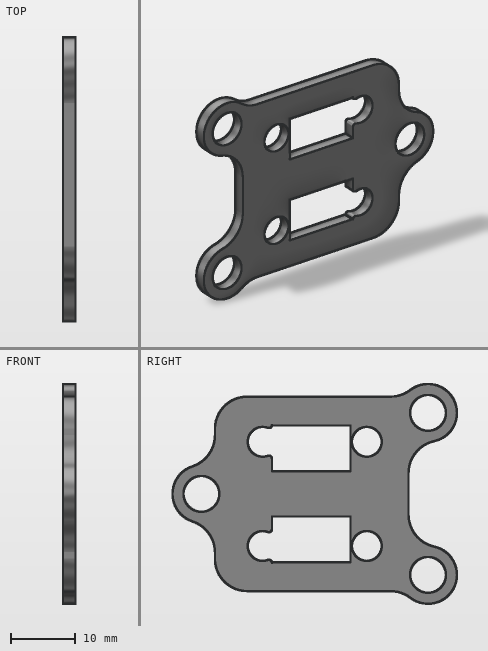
import cadquery as cq
import math

length = 44.0
height = 34.0
thickness = 2.0

body_front = -15.45
body_back = 14.5
body_height = 30.1
blend_radius = 5.0

lug_radius = 4.5
lug_hole_radius = 2.75
lug_y = length / 2 - lug_radius
lug_z = height / 2 - lug_radius
lug_centers = [(lug_y, lug_z), (lug_y, -lug_z), (-lug_y, 0)]

screw_radius = 2.3
screw_y = 8.05
screw_z = 8.05
window_front = -6.6
window_back = 5.5
window_inner_z = 3.5
window_height = 7.05
neck_radius = 0.5


def prism(y_min, y_max, z_min, z_max):
    """Block through the plate thickness, centred on X = 0."""
    return cq.Workplane("YZ").box(
        y_max - y_min, z_max - z_min, thickness
    ).translate((0, (y_min + y_max) / 2, (z_min + z_max) / 2))


def discs(centers, radius):
    """Round prisms through the plate thickness at (y, z) centres."""
    return (
        cq.Workplane("YZ", origin=(-thickness / 2, 0, 0))
        .pushPoints(centers)
        .circle(radius)
        .extrude(thickness)
    )


def lug_junctions():
    """The (y, z) corners where the lugs meet the straight body edges."""
    front_rise = math.sqrt(lug_radius**2 - (body_front + lug_y) ** 2)
    back_drop = math.sqrt(lug_radius**2 - (lug_y - body_back) ** 2)
    side_run = math.sqrt(lug_radius**2 - (body_height / 2 - lug_z) ** 2)
    upper = [
        (body_front, front_rise),
        (body_back, lug_z - back_drop),
        (lug_y - side_run, body_height / 2),
    ]
    return upper + [(y, -z) for y, z in upper]


def plate():
    """Body with three lugs blended into its edges."""
    body = prism(body_front, body_back, -body_height / 2, body_height / 2)
    body = body.edges("|X and <Y").fillet(blend_radius)
    blank = body.union(discs(lug_centers, lug_radius))
    for y, z in lug_junctions():
        corner = cq.selectors.NearestToPointSelector((0, y, z))
        blank = blank.edges("|X").edges(corner).fillet(blend_radius)
    return blank


def window():
    """Upper window, opening through a rounded neck into its front screw hole."""
    opening = prism(window_front, window_back, window_inner_z, window_inner_z + window_height)

    round_y = window_front - neck_radius
    center_distance = screw_radius + neck_radius
    round_rise = math.sqrt(center_distance**2 - (round_y + screw_y) ** 2)
    round_centers = [(round_y, screw_z - round_rise), (round_y, screw_z + round_rise)]

    neck_end = -screw_y + (round_y + screw_y) * screw_radius / center_distance
    neck = prism(neck_end, window_front, screw_z - round_rise, screw_z + round_rise)
    neck = neck.cut(discs(round_centers, neck_radius))
    return opening.union(neck)


upper_openings = window().union(discs([(-screw_y, screw_z), (screw_y, screw_z)], screw_radius))
lower_openings = upper_openings.mirror("XY")

result = (
    plate()
    .cut(discs(lug_centers, lug_hole_radius))
    .cut(upper_openings)
    .cut(lower_openings)
)